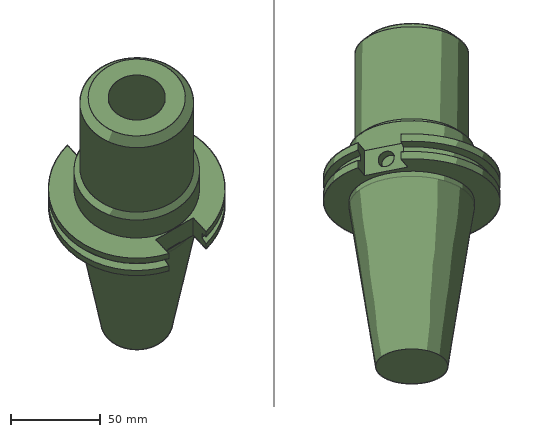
import cadquery as cq

total_height = 203.2
gauge_height = 101.5
gauge_radius = 70.0 / 2
taper_per_length = 7 / 24
tip_radius = gauge_radius - gauge_height * taper_per_length / 2

flange_radius = 98.3 / 2
flange_bottom = 104.9
flange_thickness = 15.8
flange_top = flange_bottom + flange_thickness
flange_middle = flange_bottom + flange_thickness / 2
groove_radius = 45.5
groove_mouth = 6.5
groove_floor = 3.5

collar_top = 140.0
collar_chamfer = 3.0
nose_radius = 63.5 / 2
nose_chamfer = 4.7
bore_radius = 31.7 / 2
bore_depth = 81.3

slot_width = 25.8
left_slot_floor = 37.5
right_slot_floor = 35.4
screw_hole_radius = 9.5 / 2
screw_hole_depth = 5.0


def turned_body():
    """Revolve the half section of shank, flange and nose about Z."""
    profile = [
        (0, 0),
        (tip_radius, 0),
        (gauge_radius, gauge_height),
        (gauge_radius, flange_bottom),
        (flange_radius, flange_bottom),
        (flange_radius, flange_middle - groove_mouth / 2),
        (groove_radius, flange_middle - groove_floor / 2),
        (groove_radius, flange_middle + groove_floor / 2),
        (flange_radius, flange_middle + groove_mouth / 2),
        (flange_radius, flange_top),
        (gauge_radius, flange_top),
        (gauge_radius, collar_top - collar_chamfer),
        (nose_radius, collar_top),
        (nose_radius, total_height - nose_chamfer),
        (nose_radius - nose_chamfer, total_height),
        (0, total_height),
    ]
    return cq.Workplane("XZ").polyline(profile).close().revolve(360, (0, 0, 0), (0, 1, 0))


def bore():
    """Blind tool bore from the nose face."""
    floor = cq.Workplane("XY").workplane(offset=total_height - bore_depth)
    return floor.circle(bore_radius).extrude(bore_depth)


def drive_slot(side, floor):
    """Block that cuts a flat-floored slot outward along X on one side."""
    center = (side * (floor + flange_radius / 2), 0, flange_middle)
    return cq.Workplane("XY").box(flange_radius, slot_width, flange_thickness).translate(center)


def screw_hole():
    """Blind radial hole in the floor of the -X slot."""
    return (
        cq.Workplane("YZ", origin=(-left_slot_floor, 0, flange_middle))
        .circle(screw_hole_radius)
        .extrude(screw_hole_depth)
    )


result = turned_body().cut(bore())
for side, floor in ((-1, left_slot_floor), (1, right_slot_floor)):
    result = result.cut(drive_slot(side, floor))
result = result.cut(screw_hole())